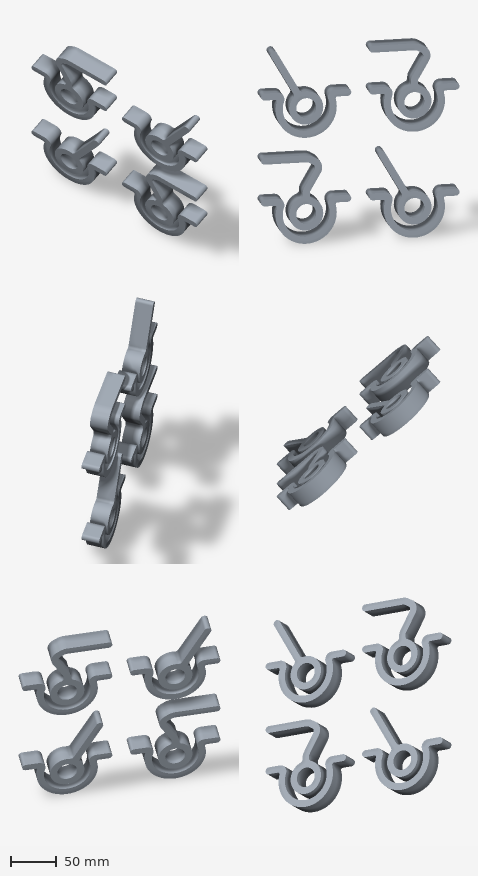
import cadquery as cq
import math

depth = 20.0
arm = 8.0
tip = arm / 2
lug_fillet = 2.0
root_fillet = tip

bore_radius = 11.0
hub_radius = bore_radius + arm
clearance = 7.0
yoke_inner = hub_radius + clearance
yoke_outer = yoke_inner + arm

lug_reach = 50.0
lug_bottom = 11.0

lever_top = 66.3
lever_angle = 60
hook_bend_height = 25.5
tight_bend = 8.0
wide_bend = 12.0
crook_angle = 90 - lever_angle

pitch = 120.0


def polar(center, radius, degrees):
    """Point at a distance and direction from a centre."""
    angle = math.radians(degrees)
    return center[0] + radius * math.cos(angle), center[1] + radius * math.sin(angle)


def extrude(sketch):
    """Extrude an XZ outline so that the body is centred on the XZ plane."""
    return sketch.extrude(depth).translate((0, depth / 2, 0))


def make_yoke():
    """U-shaped saddle with a round-ended lug on each side."""
    shoulder_x = math.sqrt(yoke_outer**2 - lug_bottom**2)
    shoulder = (shoulder_x, lug_bottom)
    lug_top = lug_bottom + arm
    lug_middle = lug_bottom + tip
    lug_end_x = lug_reach - tip
    shoulder_angle = math.degrees(math.atan2(lug_bottom, shoulder_x))
    throat_x, throat_z = polar((0, 0), yoke_inner, shoulder_angle)
    bulge_x, bulge_z = polar(shoulder, arm, (90 + 180 + shoulder_angle) / 2)

    outline = (
        cq.Workplane("XZ")
        .moveTo(-lug_end_x, lug_top)
        .lineTo(-shoulder_x, lug_top)
        .threePointArc((-bulge_x, bulge_z), (-throat_x, throat_z))
        .threePointArc((0, -yoke_inner), (throat_x, throat_z))
        .threePointArc((bulge_x, bulge_z), (shoulder_x, lug_top))
        .lineTo(lug_end_x, lug_top)
        .threePointArc((lug_reach, lug_middle), (lug_end_x, lug_bottom))
        .lineTo(shoulder_x, lug_bottom)
        .threePointArc((0, -yoke_outer), (-shoulder_x, lug_bottom))
        .lineTo(-lug_end_x, lug_bottom)
        .threePointArc((-lug_reach, lug_middle), (-lug_end_x, lug_top))
        .close()
    )
    corners = [(side * shoulder_x, 0, lug_bottom) for side in (-1, 1)]
    return fillet_along_y(extrude(outline), corners, lug_fillet)


def fillet_along_y(body, places, radius):
    """Fillet the edges parallel to Y that pass through the given points."""
    for place in places:
        edge = cq.selectors.NearestToPointSelector(place)
        body = body.edges("|Y").edges(edge).fillet(radius)
    return body


def make_lever(arm_outline, root_angle):
    """Bored hub with an arm that leaves it radially at the given angle."""
    strip = extrude(arm_outline)
    hub = extrude(cq.Workplane("XZ").circle(hub_radius))
    bore = extrude(cq.Workplane("XZ").circle(bore_radius))
    half_width_angle = math.degrees(math.asin(tip / hub_radius))
    roots = []
    for side in (-1, 1):
        x, z = polar((0, 0), hub_radius, root_angle + side * half_width_angle)
        roots.append((x, 0, z))
    return fillet_along_y(hub.union(strip).cut(bore), roots, root_fillet)


def make_straight_lever():
    """Lever with a radial, sloping arm."""
    inner_end = bore_radius + tip
    outer_end = (lever_top - tip) / math.sin(math.radians(lever_angle))
    middle = polar((0, 0), (inner_end + outer_end) / 2, lever_angle)
    length = outer_end - inner_end + arm
    outline = cq.Workplane("XZ").center(*middle).slot2D(length, arm, lever_angle)
    return make_lever(outline, lever_angle)


def add_bend(path, corner, heading_in, heading_out, radius):
    """Run the path straight up to a bend at a corner, then round it."""
    half_turn = math.radians(heading_out - heading_in) / 2
    tangent = radius * math.tan(abs(half_turn))
    sagitta = math.copysign(radius * (1 - math.cos(half_turn)), half_turn)
    start = polar(corner, -tangent, heading_in)
    end = polar(corner, tangent, heading_out)
    return path.lineTo(*start).sagittaArc(end, -sagitta)


def make_hooked_lever():
    """Lever rising from its neck, leaning back, then turning over into a level arm."""
    leg_heading = 180 - lever_angle
    arm_height = lever_top - tip
    neck_corner = (0, hook_bend_height)
    arm_corner = (-wide_bend * math.tan(math.radians(crook_angle / 2)), arm_height)
    leg_x, leg_z = polar((0, 0), 1, leg_heading)
    leg_length = (arm_corner[0] - neck_corner[0]) * leg_x + (arm_corner[1] - neck_corner[1]) * leg_z
    leg_corner = polar(neck_corner, leg_length, leg_heading)

    path = cq.Workplane("XZ").moveTo(0, bore_radius + tip)
    path = add_bend(path, neck_corner, 90, leg_heading, tight_bend)
    path = add_bend(path, leg_corner, leg_heading, crook_angle, tight_bend)
    path = add_bend(path, arm_corner, crook_angle, 0, wide_bend)
    path = path.lineTo(lug_reach - tip, arm_height)
    return make_lever(path.offset2D(tip, "arc"), 90)


yoke = make_yoke()
hooked_lever = make_hooked_lever()
straight_lever = make_straight_lever()

yokes = []
levers = []
for column in (0, 1):
    for row in (0, 1):
        place = ((column - 0.5) * pitch, 0, (row - 0.5) * pitch)
        lever = straight_lever if column == row else hooked_lever
        yokes.append(yoke.translate(place).solids().val())
        levers.append(lever.translate(place).solids().val())

result = cq.Compound.makeCompound([*yokes, *levers])